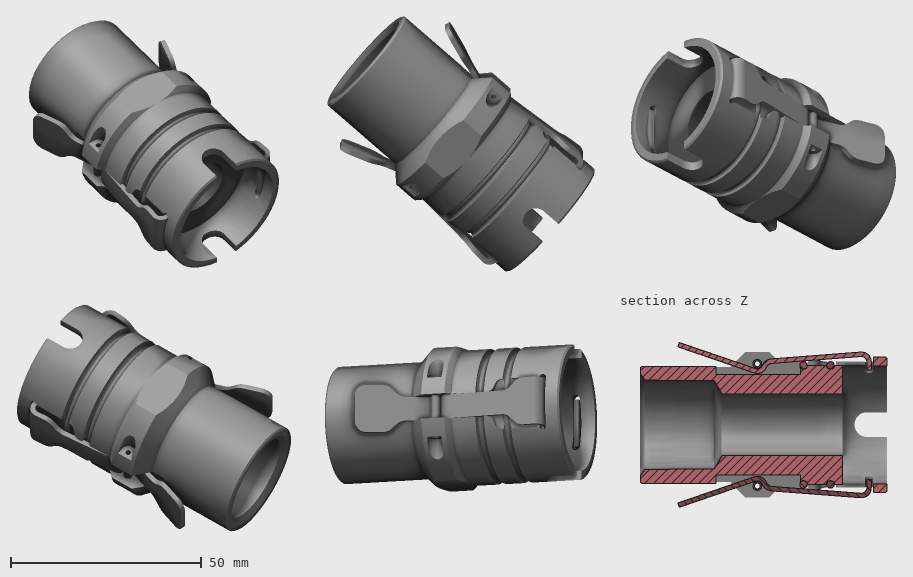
import cadquery as cq
import math


LENGTH = 64.8
TUBE_R = 30.75 / 2
BODY_R = 35.55 / 2
COLLAR_R = 19.3
COLLAR_START = 23.65
COLLAR_END = 35.4
TUBE_CHAMFER = 0.45
BODY_CHAMFER = 0.45
COLLAR_RISE = COLLAR_R - TUBE_R
COLLAR_FALL = COLLAR_R - BODY_R

MOUTH_R = 26.75 / 2
MOUTH_DEPTH = 1.2
BORE_FRONT_R = 23.4 / 2
BORE_TAPER_DEPTH = 10.3
BORE_BACK_R = 23.0 / 2
BORE_BACK_DEPTH = 19.4
THROAT_R = 16.0 / 2
THROAT_CONE_ANGLE = 60.0
SOCKET_R = 30.75 / 2
SOCKET_START = 53.1

GROOVE_POSITIONS = [43.1, 50.2]
GROOVE_WIDTH = 2.3
GROOVE_FLOOR_R = 16.2
RING_SECTION_R = 1.0
RING_OUTER_R = 16.65
RING_CENTRE_R = RING_OUTER_R - RING_SECTION_R
RING_OFFSET = -0.3
RING_POSITIONS = [x + RING_OFFSET for x in GROOVE_POSITIONS]

KEYWAY_WIDTH = 6.5
KEYWAY_START = 56.2

PIN_R = 2.4 / 2
PIN_BORE_R = 0.7
PIN_X = 30.7
PIN_Y = 16.0
PIN_HALF_LENGTH = 7.9
PIN_POCKET_R = 2.0

STRIP = 1.3
TAB_ANGLE = 18.9
TAB_TIP_Y = 43.25 / 2
PLATE_ANGLE = 4.4
CRADLE_R = 1.3
SHOULDER_R = 3.0
BEND_ANGLE = -22.4
PLATE_LENGTH = 23.4
HOOK_R = 2.65
HOOK_TIP_Y = 14.25
NECK_HALF = 3.2
PADDLE_HALF = 6.3
TAB_TAPER_X = 19.95
PLATE_TAPER_X = 52.4
TAPER_ANGLE = 45.0
TAPER_FILLET = 3.4
TIP_FILLET = 2.9

SLOT_HALF = 3.25
SLOT_START = 20.0
SLOT_FLOOR_Y = 13.2
RECESS_HALF = 6.7
RECESS_FLOOR_Y = 15.7
RECESS_TAPER_X = 46.95
RECESS_TAPER_ANGLE = 70.0
RECESS_FILLET = 1.95
RECESS_END = 61.0
WINDOW_WIDTH = 2.1
WINDOW_HALF = 7.4

CLEAR = 25.9


def polar(centre, radius, angle):
    """Point at a radius and an angle in degrees from a centre."""
    turn = math.radians(angle)
    return (centre[0] + radius * math.cos(turn), centre[1] + radius * math.sin(turn))


def block(x_range, y_range, z_range):
    """Box between two limits on each axis."""
    size = [high - low for low, high in (x_range, y_range, z_range)]
    corner = (x_range[0], y_range[0], z_range[0])
    return cq.Workplane("XY").box(*size, centered=False).translate(corner)


def half_turn(shape):
    """Copy of a shape turned to the opposite side of the X axis."""
    return shape.rotate((0, 0, 0), (1, 0, 0), 180)


def revolved_shell():
    throat_start = BORE_BACK_DEPTH + (BORE_BACK_R - THROAT_R) / math.tan(math.radians(THROAT_CONE_ANGLE))
    outline = [
        (0, MOUTH_R),
        (0, TUBE_R - TUBE_CHAMFER),
        (TUBE_CHAMFER, TUBE_R),
        (COLLAR_START, TUBE_R),
        (COLLAR_START + COLLAR_RISE, COLLAR_R),
        (COLLAR_END - COLLAR_FALL, COLLAR_R),
        (COLLAR_END, BODY_R),
        (LENGTH - BODY_CHAMFER, BODY_R),
        (LENGTH, BODY_R - BODY_CHAMFER),
        (LENGTH, SOCKET_R),
        (SOCKET_START, SOCKET_R),
        (SOCKET_START, THROAT_R),
        (throat_start, THROAT_R),
        (BORE_BACK_DEPTH, BORE_BACK_R),
        (BORE_TAPER_DEPTH, BORE_BACK_R),
        (MOUTH_DEPTH, BORE_FRONT_R),
    ]
    return cq.Workplane("XY").polyline(outline).close().revolve(360, (0, 0, 0), (1, 0, 0))


def ring_groove(x):
    half = GROOVE_WIDTH / 2
    round_r = GROOVE_FLOOR_R + half
    profile = cq.Workplane("XY").moveTo(x - half, CLEAR).lineTo(x - half, round_r)
    profile = profile.threePointArc((x, GROOVE_FLOOR_R), (x + half, round_r)).lineTo(x + half, CLEAR).close()
    return profile.revolve(360, (0, 0, 0), (1, 0, 0))


def keyway():
    """Round-ended slot through both walls of the socket."""
    round_x = KEYWAY_START + KEYWAY_WIDTH / 2
    slot = block((round_x, LENGTH), (-KEYWAY_WIDTH / 2, KEYWAY_WIDTH / 2), (-CLEAR, CLEAR))
    end = cq.Workplane("XY").center(round_x, 0).circle(KEYWAY_WIDTH / 2).extrude(CLEAR, both=True)
    return slot.union(end)


def pin_pocket():
    """Flat-floored pocket above the hinge pin, open to the -Y side."""
    depth = CLEAR - PIN_HALF_LENGTH
    seat = cq.Workplane("XY", origin=(PIN_X, -PIN_Y, PIN_HALF_LENGTH)).circle(PIN_POCKET_R).extrude(depth)
    x_range = (PIN_X - PIN_POCKET_R, PIN_X + PIN_POCKET_R)
    return seat.union(block(x_range, (-CLEAR, -PIN_Y), (PIN_HALF_LENGTH, CLEAR)))


def lever_slot():
    y_range = (-CLEAR, -SLOT_FLOOR_Y)
    groove_start = GROOVE_POSITIONS[0] - GROOVE_WIDTH / 2
    return block((SLOT_START, groove_start), y_range, (-SLOT_HALF, SLOT_HALF))


def taper_corners(x, first_half, second_half, angle):
    """Ends of the sloped edge centred at x that joins two half widths."""
    run = abs(second_half - first_half) / 2 / math.tan(math.radians(angle))
    return [(x - run, first_half), (x + run, second_half)]


def symmetric_plate(edge):
    """Solid along Y whose outline in XZ is an edge and its mirror image below Z = 0."""
    lower = [(x, -z) for x, z in reversed(edge)]
    return cq.Workplane("XZ").polyline(edge + lower).close().extrude(CLEAR)


def fillet_taper(plate, x, reach, radius):
    """Round the corners at both ends of a taper."""
    box = cq.selectors.BoxSelector((x - reach, -2 * CLEAR, -CLEAR), (x + reach, CLEAR, CLEAR))
    return plate.edges("|Y").edges(box).fillet(radius)


def hook_recess():
    """Flat recess below the lever plate, widening from the lever slot."""
    edge = [(SLOT_START, SLOT_HALF)]
    edge += taper_corners(RECESS_TAPER_X, SLOT_HALF, RECESS_HALF, RECESS_TAPER_ANGLE)
    edge += [(RECESS_END, RECESS_HALF)]
    plate = fillet_taper(symmetric_plate(edge), RECESS_TAPER_X, RECESS_HALF, RECESS_FILLET)
    return plate.translate((0, -RECESS_FLOOR_Y, 0))


def hook_window():
    """Round-ended window that lets the hook into the socket."""
    slot = cq.Workplane("XZ", origin=(RECESS_END - WINDOW_WIDTH / 2, -THROAT_R, 0))
    return slot.slot2D(2 * WINDOW_HALF, WINDOW_WIDTH, 90).extrude(CLEAR)


def make_housing():
    body = revolved_shell()
    for x in GROOVE_POSITIONS:
        body = body.cut(ring_groove(x))
    for x in RING_POSITIONS:
        body = body.cut(make_o_ring(x))
    body = body.cut(keyway())

    collar_x = (COLLAR_START, COLLAR_END)
    flat = block(collar_x, (-CLEAR, CLEAR), (BODY_R, CLEAR))
    pin_hole = cq.Workplane("XY", origin=(PIN_X, -PIN_Y, -CLEAR)).circle(PIN_R).extrude(2 * CLEAR)
    pin_cuts = [pin_hole, pin_pocket(), pin_pocket().mirror("XY")]
    lever_cuts = [lever_slot(), hook_recess(), hook_window()]
    for cut in [flat] + pin_cuts + lever_cuts:
        body = body.cut(cut).cut(half_turn(cut))
    return body


def make_o_ring(x):
    ring = cq.Solid.makeTorus(RING_CENTRE_R, RING_SECTION_R, cq.Vector(x, 0, 0), cq.Vector(1, 0, 0))
    return cq.Workplane(obj=ring)


def make_pin():
    section = cq.Workplane("XY", origin=(PIN_X, -PIN_Y, -PIN_HALF_LENGTH)).circle(PIN_R).circle(PIN_BORE_R)
    return section.extrude(2 * PIN_HALF_LENGTH)


def lever_strip():
    """Bent strip of constant thickness, laid out on the +Y side."""
    pin = (PIN_X, PIN_Y)
    shoulder = polar(pin, CRADLE_R + SHOULDER_R, BEND_ANGLE)
    tab_normal = -90 - TAB_ANGLE
    plate_normal = 90 + PLATE_ANGLE
    bend_back = 180 + BEND_ANGLE

    tab_root = polar(pin, CRADLE_R, tab_normal)
    tab_length = (TAB_TIP_Y - tab_root[1]) / math.sin(math.radians(TAB_ANGLE))
    tab_tip = polar(tab_root, tab_length, 180 - TAB_ANGLE)
    plate_end = polar(polar(shoulder, SHOULDER_R, plate_normal), PLATE_LENGTH, PLATE_ANGLE)
    hook = polar(plate_end, HOOK_R, plate_normal - 180)
    hook_outer_x = hook[0] + HOOK_R

    def arc(sketch, centre, radius, start, end):
        return sketch.threePointArc(polar(centre, radius, (start + end) / 2), polar(centre, radius, end))

    sketch = cq.Workplane("XY").moveTo(*tab_tip).lineTo(*tab_root)
    sketch = arc(sketch, pin, CRADLE_R, tab_normal, BEND_ANGLE)
    sketch = arc(sketch, shoulder, SHOULDER_R, bend_back, plate_normal)
    sketch = sketch.lineTo(*plate_end)
    sketch = arc(sketch, hook, HOOK_R, plate_normal, 0)
    sketch = sketch.lineTo(hook_outer_x, HOOK_TIP_Y).lineTo(hook_outer_x - STRIP, HOOK_TIP_Y)
    sketch = sketch.lineTo(hook_outer_x - STRIP, hook[1])
    sketch = arc(sketch, hook, HOOK_R - STRIP, 0, plate_normal)
    sketch = sketch.lineTo(*polar(shoulder, SHOULDER_R - STRIP, plate_normal))
    sketch = arc(sketch, shoulder, SHOULDER_R - STRIP, plate_normal, bend_back)
    sketch = arc(sketch, pin, CRADLE_R + STRIP, BEND_ANGLE, tab_normal)
    sketch = sketch.lineTo(*polar(tab_tip, STRIP, tab_normal)).close()
    return sketch.extrude(PADDLE_HALF, both=True)


def lever_outline():
    """Outline with a wide paddle at each end and a narrow neck, on the -Y side."""
    edge = [(0, PADDLE_HALF)]
    edge += taper_corners(TAB_TAPER_X, PADDLE_HALF, NECK_HALF, TAPER_ANGLE)
    edge += taper_corners(PLATE_TAPER_X, NECK_HALF, PADDLE_HALF, TAPER_ANGLE)
    edge += [(LENGTH, PADDLE_HALF)]
    plate = symmetric_plate(edge)
    for x in (TAB_TAPER_X, PLATE_TAPER_X):
        plate = fillet_taper(plate, x, PADDLE_HALF, TAPER_FILLET)
    return plate


def make_lever():
    lever = half_turn(lever_strip()).intersect(lever_outline())
    return lever.faces("<X").edges("not |Z").fillet(TIP_FILLET)


housing = make_housing()
o_rings = [make_o_ring(x) for x in RING_POSITIONS]
pins = [make_pin(), half_turn(make_pin())]
levers = [make_lever(), half_turn(make_lever())]

bodies = [housing] + o_rings + pins + levers
result = cq.Compound.makeCompound([body.val() for body in bodies])